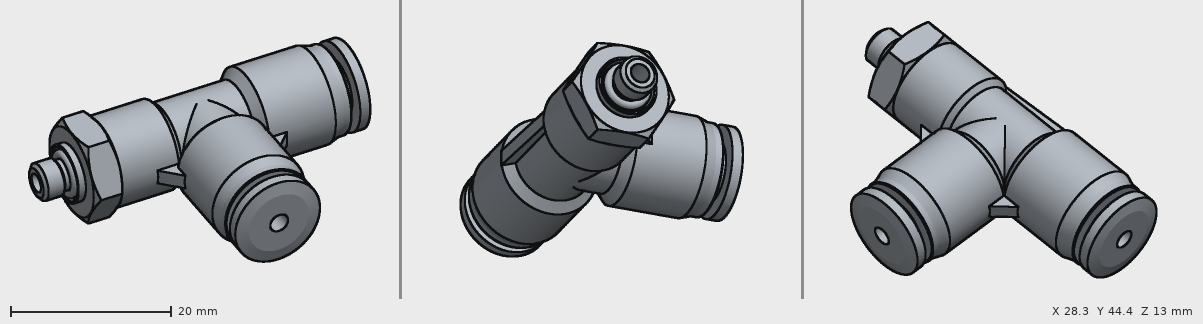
import cadquery as cq
import math


OVERALL_LENGTH = 44.4
PORT_LENGTH = 21.4
STUD_END = PORT_LENGTH - OVERALL_LENGTH
BORE_DIAMETER = 2.5

PORT_RADIUS = 13.0 / 2
RIM_RADIUS = 6.0
WAIST_RADIUS = 5.2
PORT_CONE_START = 15.85
RIM_START = 17.4
RIM_END = 18.43
RIM_CHAMFER = 0.15

SLEEVE_RADIUS = 3.85
FLANGE_START = 19.6
FLANGE_EDGE = 21.0
FLANGE_FACE_RADIUS = 4.2

RIB_THICKNESS = 2.0
GUSSET_LEG = 2.45

HEX_ACROSS_FLATS = 12.0
HEX_THICKNESS = 4.05
HEX_FACE_RADIUS = 5.95
HEX_CHAMFER_ANGLE = 30.0

THREAD_RADIUS = 2.5
STUD_NECK_RADIUS = 2.05
THREAD_TIP_RADIUS = 1.95
THREAD_START = 0.45
THREAD_TOP = 2.7
THREAD_RUNOUT = 0.3
COLLAR_RADIUS = 3.85
COLLAR_START = 3.95
HEX_START = 4.97

SEAL_SECTION_RADIUS = 0.58
SEAL_PROTRUSION = 0.45
SEAL_CENTRE_RADIUS = STUD_NECK_RADIUS + SEAL_SECTION_RADIUS
SEAL_OUTER_RADIUS = SEAL_CENTRE_RADIUS + SEAL_SECTION_RADIUS
SEAL_CENTRE_Y = STUD_END + COLLAR_START - SEAL_PROTRUSION + SEAL_SECTION_RADIUS
RECESS_FLOOR_Y = SEAL_CENTRE_Y + SEAL_SECTION_RADIUS
RECESS_RIM_RADIUS = 3.55


def port_profile():
    """Half section of one tube port, with radius along X and distance along Y."""
    return (
        cq.Workplane("XY")
        .lineTo(WAIST_RADIUS, 0)
        .lineTo(WAIST_RADIUS, WAIST_RADIUS)
        .lineTo(PORT_RADIUS, PORT_RADIUS)
        .lineTo(PORT_RADIUS, PORT_CONE_START)
        .lineTo(RIM_RADIUS, RIM_START)
        .lineTo(RIM_RADIUS, RIM_END - RIM_CHAMFER)
        .lineTo(RIM_RADIUS - RIM_CHAMFER, RIM_END)
        .lineTo(SLEEVE_RADIUS, RIM_END)
        .lineTo(SLEEVE_RADIUS, FLANGE_START)
        .lineTo(RIM_RADIUS, FLANGE_START)
        .lineTo(RIM_RADIUS, FLANGE_EDGE)
        .lineTo(FLANGE_FACE_RADIUS, PORT_LENGTH)
        .lineTo(0, PORT_LENGTH)
        .close()
    )


def revolve_about_y(profile):
    return profile.revolve(360, (0, 0, 0), (0, 1, 0))


def make_port():
    return revolve_about_y(port_profile())


def make_stud_side():
    """Run from the crossing point down through the collar and the threaded stud."""
    profile = (
        cq.Workplane("XY")
        .lineTo(WAIST_RADIUS, 0)
        .lineTo(WAIST_RADIUS, -WAIST_RADIUS)
        .lineTo(RIM_RADIUS, -RIM_RADIUS)
        .lineTo(RIM_RADIUS, STUD_END + HEX_START + HEX_THICKNESS)
        .lineTo(COLLAR_RADIUS, STUD_END + HEX_START + HEX_THICKNESS)
        .lineTo(COLLAR_RADIUS, STUD_END + COLLAR_START)
        .lineTo(RECESS_RIM_RADIUS, STUD_END + COLLAR_START)
        .lineTo(SEAL_OUTER_RADIUS, RECESS_FLOOR_Y)
        .lineTo(STUD_NECK_RADIUS, RECESS_FLOOR_Y)
        .lineTo(STUD_NECK_RADIUS, STUD_END + THREAD_TOP + THREAD_RUNOUT)
        .lineTo(THREAD_RADIUS, STUD_END + THREAD_TOP)
        .lineTo(THREAD_RADIUS, STUD_END + THREAD_START)
        .lineTo(THREAD_TIP_RADIUS, STUD_END)
        .lineTo(0, STUD_END)
        .close()
    )
    return revolve_about_y(profile)


def make_hexagon():
    """Hexagon with corners on X and both end faces chamfered."""
    corner_radius = HEX_ACROSS_FLATS / 2 / math.cos(math.pi / 6)
    chamfer_height = (corner_radius - HEX_FACE_RADIUS) * math.tan(math.radians(HEX_CHAMFER_ANGLE))
    bottom = STUD_END + HEX_START
    top = bottom + HEX_THICKNESS
    prism = (
        cq.Workplane("XZ", origin=(0, top, 0))
        .polygon(6, 2 * corner_radius)
        .extrude(HEX_THICKNESS)
    )
    chamfer_profile = (
        cq.Workplane("XY")
        .moveTo(0, bottom)
        .lineTo(HEX_FACE_RADIUS, bottom)
        .lineTo(corner_radius, bottom + chamfer_height)
        .lineTo(corner_radius, top - chamfer_height)
        .lineTo(HEX_FACE_RADIUS, top)
        .lineTo(0, top)
        .close()
    )
    return prism.intersect(revolve_about_y(chamfer_profile))


def make_plate(points):
    return cq.Workplane("XY").polyline(points).close().extrude(RIB_THICKNESS / 2, both=True)


def make_gusset(run_radius, side):
    """Triangular rib between branch and run, on the +Y (side = 1) or -Y (side = -1) of the branch."""
    reach = run_radius + PORT_RADIUS + GUSSET_LEG - WAIST_RADIUS
    return make_plate([
        (WAIST_RADIUS, side * WAIST_RADIUS),
        (reach, side * WAIST_RADIUS),
        (WAIST_RADIUS, side * reach),
    ])


def make_back_rib():
    """Rib along the back of the waist, joining the port to the stud side."""
    return make_plate([
        (0, PORT_RADIUS),
        (-PORT_RADIUS, PORT_RADIUS),
        (-RIM_RADIUS, -RIM_RADIUS),
        (0, -RIM_RADIUS),
    ])


def make_fitting():
    run_port = make_port()
    branch_port = make_port().rotate((0, 0, 0), (0, 0, 1), -90)
    body = run_port.union(branch_port).union(make_stud_side()).union(make_hexagon())
    body = body.union(make_back_rib())
    body = body.union(make_gusset(PORT_RADIUS, 1)).union(make_gusset(RIM_RADIUS, -1))
    run_end = cq.Workplane("XZ", origin=(0, PORT_LENGTH, 0))
    run_bore = run_end.circle(BORE_DIAMETER / 2).extrude(OVERALL_LENGTH)
    branch_bore = cq.Workplane("YZ").circle(BORE_DIAMETER / 2).extrude(PORT_LENGTH)
    return body.cut(run_bore).cut(branch_bore)


def make_seal_ring():
    section = cq.Workplane("XY").center(SEAL_CENTRE_RADIUS, SEAL_CENTRE_Y).circle(SEAL_SECTION_RADIUS)
    return section.revolve(360, (-SEAL_CENTRE_RADIUS, 0, 0), (-SEAL_CENTRE_RADIUS, 1, 0))


fitting = make_fitting()
seal_ring = make_seal_ring()

result = cq.Compound.makeCompound([*fitting.solids().vals(), seal_ring.val()])